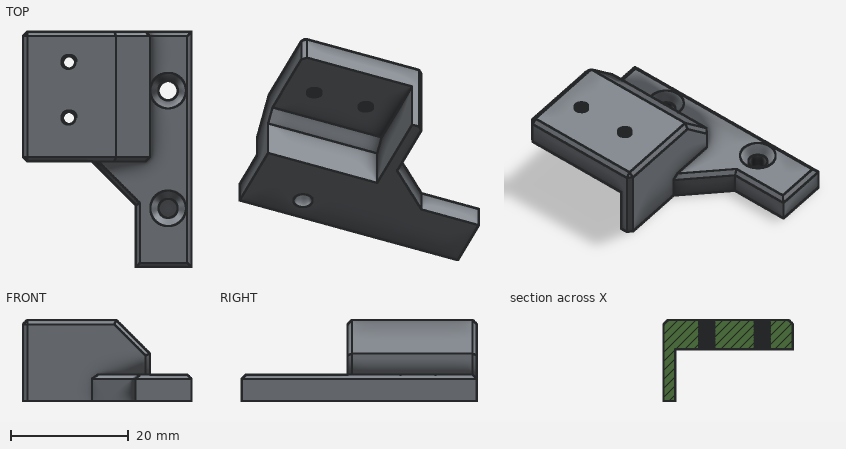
import cadquery as cq
import math


block_width = 21.6
block_depth = 22.0
block_height = 13.8
slope_size = 5.75
overhang_thickness = 5.0
front_wall = 2.0
pocket_width = 15.8
pocket_slope = 2.0

plate_right = 28.67
plate_length = 40.0
plate_thickness = 4.5
leg_width = 9.5
diagonal_drop = 7.46

bevel = 0.75

screw_x = plate_right - 4.0
screw_diameter = 3.25
screw_head_diameter = 6.05
screw_head_angle = 90.0
back_screw_y = -10.0
front_screw_y = -30.0
blind_floor = 0.3

thread_x = 7.85
thread_ys = (-5.2, -14.65)
thread_minor_diameter = 2.08
thread_major_diameter = 2.58
thread_pitch = 0.45
thread_root_width = 0.05
thread_mouth_width = 0.44
thread_overlap = 0.1
thread_start_angle = 125.0

pocket_height = block_height - overhang_thickness
pocket_depth = block_depth - front_wall


def extrude_to_front(points, depth):
    """Extrude an XZ outline from the back face toward -Y."""
    return cq.Workplane("XZ").polyline(points).close().extrude(depth)


def make_block():
    slope_start = block_width - slope_size
    slope_end = block_height - slope_size
    outline = [
        (0, 0),
        (block_width, 0),
        (block_width, slope_end),
        (slope_start, block_height),
        (0, block_height),
    ]
    block = extrude_to_front(outline, block_depth)
    end_edges = block.faces("<Y or >Y").edges("not <Z")
    top_left_edge = block.faces("<X").edges(">Z")
    return end_edges.add(top_left_edge).chamfer(bevel)


def make_pocket():
    outline = [
        (0, 0),
        (pocket_width, 0),
        (pocket_width, pocket_height - pocket_slope),
        (pocket_width - pocket_slope, pocket_height),
        (0, pocket_height),
    ]
    return extrude_to_front(outline, pocket_depth)


def make_plate():
    leg_left = plate_right - leg_width
    diagonal_end = -block_depth - diagonal_drop
    diagonal_start_x = leg_left - diagonal_drop - front_wall
    outline = [
        (pocket_width, 0),
        (plate_right, 0),
        (plate_right, -plate_length),
        (leg_left, -plate_length),
        (leg_left, diagonal_end),
        (diagonal_start_x, -pocket_depth),
        (pocket_width, -pocket_depth),
    ]
    plate = cq.Workplane("XY").polyline(outline).close().extrude(plate_thickness)
    leg_middle = (leg_left, (diagonal_end - plate_length) / 2, plate_thickness)
    diagonal_middle_x = (leg_left + diagonal_start_x) / 2
    diagonal_middle_y = (diagonal_end - pocket_depth) / 2
    diagonal_middle = (diagonal_middle_x, diagonal_middle_y, plate_thickness)
    top_edges = plate.faces(">Z").edges()
    bevel_edges = top_edges.edges("<Y or >Y or >X")
    for middle in (leg_middle, diagonal_middle):
        bevel_edges = bevel_edges.add(top_edges.edges(cq.selectors.NearestToPointSelector(middle)))
    return bevel_edges.chamfer(bevel)


def make_screw_hole(y, floor):
    """Countersunk hole tool reaching down to the height floor."""
    head_radius = screw_head_diameter / 2
    shank_radius = screw_diameter / 2
    cone_depth = (head_radius - shank_radius) / math.tan(math.radians(screw_head_angle / 2))
    profile = [
        (0, floor),
        (shank_radius, floor),
        (shank_radius, plate_thickness - cone_depth),
        (head_radius, plate_thickness),
        (0, plate_thickness),
    ]
    tool = cq.Workplane("XZ").polyline(profile).close().revolve(360, (0, 0), (0, 1))
    return tool.translate((screw_x, y, 0))


def make_threaded_hole():
    """Bore with a helical V groove, centred on the Z axis and running past both faces."""
    minor_radius = thread_minor_diameter / 2
    major_radius = thread_major_diameter / 2
    bottom = pocket_height - thread_pitch
    length = overhang_thickness + 2 * thread_pitch
    inner_radius = minor_radius - thread_overlap
    mouth_half = thread_mouth_width / 2
    root_half = thread_root_width / 2
    profile = [
        (inner_radius, bottom - mouth_half),
        (major_radius, bottom - root_half),
        (major_radius, bottom + root_half),
        (inner_radius, bottom + mouth_half),
    ]
    helix = cq.Wire.makeHelix(thread_pitch, length, minor_radius, cq.Vector(0, 0, bottom))
    groove = cq.Workplane("XZ").polyline(profile).close().sweep(cq.Workplane(helix), isFrenet=True)
    bore = cq.Workplane("XY").workplane(offset=bottom).circle(minor_radius).extrude(length)
    return bore.union(groove).rotate((0, 0, 0), (0, 0, 1), thread_start_angle)


part = make_block().cut(make_pocket()).union(make_plate())
part = part.cut(make_screw_hole(back_screw_y, 0))
part = part.cut(make_screw_hole(front_screw_y, blind_floor))
threaded_hole = make_threaded_hole()
for thread_y in thread_ys:
    part = part.cut(threaded_hole.translate((thread_x, thread_y, 0)))

result = part